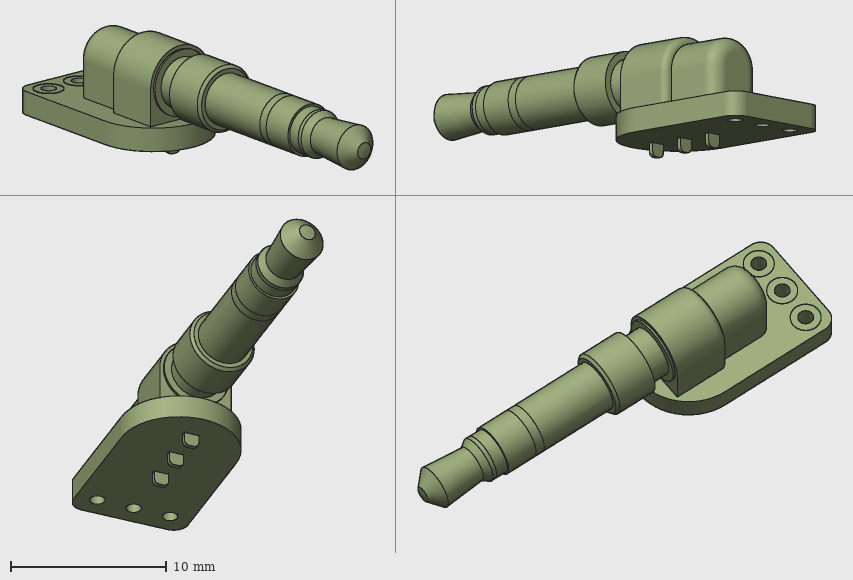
import cadquery as cq


board_width = 8.0
board_thickness = 1.6
board_nose_radius = board_width / 2
board_straight_length = 9.0
board_corner_radius = 1.0

hole_diameter = 1.0
hole_pitch = 2.54
hole_x = 1.5
hole_count = 3
pad_diameter = 2.0
pad_thickness = 0.035

pin_thickness = 0.3
pin_width = 1.0
pin_protrusion = 0.9
pin_tip_radius = 0.35
pin_pitch = 2.5
pin_count = 3
first_pin_x = 5.95

axis_above_board = 2.5
axis_height = board_thickness + axis_above_board
rear_block_x = 3.75
rear_block_radius = 2.0
rear_block_fillet = 0.95
front_block_x = 7.7
front_block_radius = 2.5
front_block_fillet = 0.5
housing_end_x = 11.75

flange_end_x = 11.9
collar_start_x = 13.35
collar_end_x = 16.35
collar_chamfer = 0.2
sleeve_end_x = 21.85
first_insulator_end_x = 22.5
ring_end_x = 24.7
second_insulator_end_x = 25.55
tip_flange_end_x = 25.85
tip_waist_x = 26.35
tip_shoulder_x = 29.35
tip_nose_x = 30.28
tip_end_x = 30.35

shank_radius = 1.75
collar_radius = 2.25
tip_flange_radius = 1.6
tip_waist_radius = 1.25
tip_shoulder_radius = 1.5
tip_nose_radius = 0.55

hole_points = [(hole_x, (i - (hole_count - 1) / 2) * hole_pitch) for i in range(hole_count)]
pin_positions = [first_pin_x + i * pin_pitch for i in range(pin_count)]


def arched_block(start_x, radius, fillet):
    """Block on the board with an arched top, rounded around its rear face."""
    block = (
        cq.Workplane("YZ", origin=(start_x, 0, 0))
        .moveTo(-radius, board_thickness)
        .lineTo(radius, board_thickness)
        .lineTo(radius, axis_height)
        .threePointArc((0, axis_height + radius), (-radius, axis_height))
        .close()
        .extrude(housing_end_x - start_x)
    )
    return block.faces("<X").edges("not <Z").fillet(fillet)


def make_pin(center_x):
    """Flat pin through the board with rounded lower corners."""
    length = board_thickness + pin_protrusion
    return (
        cq.Workplane("XY")
        .box(pin_thickness, pin_width, length, centered=(True, True, False))
        .translate((center_x, 0, -pin_protrusion))
        .edges("|X and <Z")
        .fillet(pin_tip_radius)
    )


def turned(profile, end_x):
    """Solid of revolution about the plug axis from (x, radius) points, meeting the axis again at end_x."""
    start_x = profile[0][0]
    outline = [(start_x, 0)] + profile + [(end_x, 0)]
    return (
        cq.Workplane("XZ", origin=(0, 0, axis_height))
        .polyline(outline)
        .close()
        .revolve(360, (0, 0), (1, 0))
    )


def make_housing():
    """Arched housing together with the pins below it."""
    body = arched_block(front_block_x, front_block_radius, front_block_fillet)
    body = body.union(arched_block(rear_block_x, rear_block_radius, rear_block_fillet))
    for pin_x in pin_positions:
        body = body.union(make_pin(pin_x))
    return body


def make_board():
    """Board with a round nose, solder pads and holes, and slots for the pins."""
    half_width = board_width / 2
    body = (
        cq.Workplane("XY")
        .moveTo(0, -half_width)
        .lineTo(board_straight_length, -half_width)
        .threePointArc(
            (board_straight_length + board_nose_radius, 0),
            (board_straight_length, half_width),
        )
        .lineTo(0, half_width)
        .close()
        .extrude(board_thickness)
        .edges("|Z and <X")
        .fillet(board_corner_radius)
    )
    pads = (
        cq.Workplane("XY", origin=(0, 0, board_thickness))
        .pushPoints(hole_points)
        .circle(pad_diameter / 2)
        .extrude(pad_thickness)
    )
    holes = (
        cq.Workplane("XY")
        .pushPoints(hole_points)
        .circle(hole_diameter / 2)
        .extrude(board_thickness + pad_thickness)
    )
    body = body.union(pads).cut(holes)
    for pin_x in pin_positions:
        body = body.cut(make_pin(pin_x))
    return body


def make_sleeve():
    """Sleeve contact: end flange, neck, grip collar and shank."""
    return turned([
        (housing_end_x, collar_radius),
        (flange_end_x, collar_radius),
        (flange_end_x, shank_radius),
        (collar_start_x, shank_radius),
        (collar_start_x, collar_radius),
        (collar_end_x - collar_chamfer, collar_radius),
        (collar_end_x, collar_radius - collar_chamfer),
        (collar_end_x, shank_radius),
        (sleeve_end_x, shank_radius),
    ], sleeve_end_x)


def make_cylinder(start_x, end_x, radius):
    """Plain cylindrical section of the plug."""
    return turned([(start_x, radius), (end_x, radius)], end_x)


def make_tip():
    """Tip contact: flange, waist, flared barrel, cone and blunt nose."""
    return turned([
        (second_insulator_end_x, tip_flange_radius),
        (tip_flange_end_x, tip_flange_radius),
        (tip_waist_x, tip_waist_radius),
        (tip_shoulder_x, tip_shoulder_radius),
        (tip_nose_x, tip_nose_radius),
    ], tip_end_x)


board = make_board()
housing = make_housing()
sleeve = make_sleeve()
first_insulator = make_cylinder(sleeve_end_x, first_insulator_end_x, shank_radius)
ring = make_cylinder(first_insulator_end_x, ring_end_x, shank_radius)
second_insulator = make_cylinder(ring_end_x, second_insulator_end_x, tip_flange_radius)
tip = make_tip()

result = cq.Compound.makeCompound([
    board.val(),
    housing.val(),
    sleeve.val(),
    first_insulator.val(),
    ring.val(),
    second_insulator.val(),
    tip.val(),
])